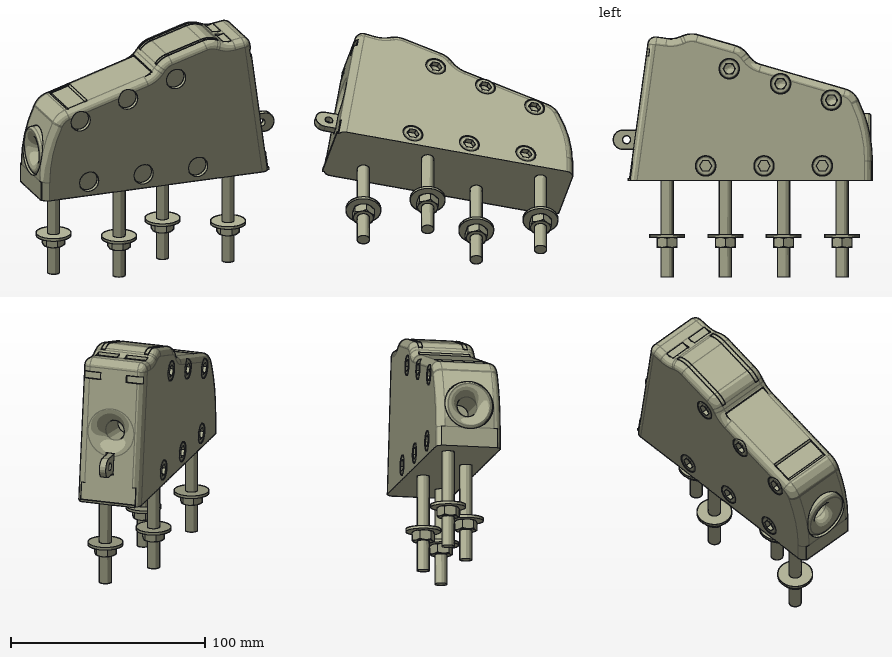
import cadquery as cq
import math

HOUSING_WIDTH = 34.0
EDGE_RADIUS = 4.0
HALF_WIDTH = HOUSING_WIDTH / 2

BASE_LENGTH = 125.4

NOSE_CORNER = (0.0, 26.5, 72.2)
FRONT_CORNER = (9.4, 46.0, 10.4)
STEP_FOOT = (61.0, 61.0, 11.5)
STEP_TOP = (67.0, 68.7, 11.8)
HUMP_TOP = (93.8, 76.5, 11.8)
VALLEY = (102.4, 72.8, 13.0)
REAR_CORNER = (115.2, 74.7, 4.1)


def slope_angle(low, high):
    return math.atan2(high[1] - low[1], high[0] - low[0])


FRONT_DECK_ANGLE = slope_angle(FRONT_CORNER, STEP_FOOT)
REAR_DECK_ANGLE = slope_angle(VALLEY, REAR_CORNER)
BACK_LEAN = math.atan2(BASE_LENGTH - REAR_CORNER[0], REAR_CORNER[1])

BASE_WIDTH = 29.7
BASE_HEIGHT = 10.0
REAR_LIP_END = 125.9
REAR_LIP_HEIGHT = 1.2

POCKET_WIDTH = 26.9
POCKET_CLEARANCE = 8.0
FRONT_POCKET_START = 56.1
FRONT_POCKET_WALL = 62.0
REAR_POCKET_START = 105.6
REAR_POCKET_WALL = 101.3
REAR_RIB_WIDTH = 4.1

STRIP_INSIDE = 10.7
STRIP_WIDTH = 2.1
STRIP_DEPTH = 0.3
STRIP_FRONT = 64.5
STRIP_REAR = 98.5

PLATE_WIDTH = 25.4
PLATE_REAR = 26.3
PLATE_FRONT = 15.0
PLATE_DEPTH = 0.7
PLATE_END_RUN = 1.1

CABLE_DIAMETER = 10.5
CABLE_HOLE_DEPTH = 26.7
BUSHING_HOLE = 25.5
BUSHING_HOLE_DEPTH = 6.7
BUSHING_DIAMETER = 25.0
BUSHING_MOUTH = 22.2
BUSHING_FACE = 0.8
BUSHING_HEIGHT = 22.2
BUSHING_EDGE = 1.2
BUSHING_BACK = 13.4
REAR_MOUTH = 25.0
REAR_MOUTH_HEIGHT = 37.4

TAB_THICKNESS = 3.5
TAB_HEIGHT = 10.0
TAB_CENTER_HEIGHT = 21.1
TAB_END = 133.6
TAB_ROOT = 113.6
TAB_HOLE = 4.0
TAB_HOLE_Y = 126.7
TAB_SLOT_WIDTH = 4.4
TAB_SLOT_HEIGHT = 11.4
TAB_SLOT_DEPTH = 2.7

NOTCH_INSIDE = 7.0
NOTCH_OUTSIDE = 15.9
NOTCH_BOTTOM = 64.4
NOTCH_TOP = 68.0
NOTCH_DEPTH = 1.3

UPPER_SCREWS = [(73.8, 57.7), (47.3, 50.0), (21.1, 41.5)]
LOWER_SCREWS = [(86.0, 7.6), (55.9, 7.6), (25.8, 7.6)]
SCREW_RECESS = 10.5
SCREW_RECESS_DEPTH = 4.0
FAR_RECESS_DEPTH = 2.7
SCREW_HEAD = 10.0
SCREW_HEAD_EDGE = 0.5
SOCKET_FLATS = 5.5
SOCKET_DEPTH = 2.7
SOCKET_CONE_DEPTH = 1.3

STUD_DIAMETER = 6.4
STUD_TIP = -49.7
STUD_ROOT = 6.7
STUD_OFFSET = 7.95
FIRST_STUD = 15.6
STUD_PITCH = 30.1
STUD_COUNT = 4
WASHER_DIAMETER = 18.0
WASHER_TOP = -27.8
WASHER_THICKNESS = 1.5
NUT_FLATS = 10.3
NUT_HEIGHT = 5.1
NUT_CHAMFER = 0.5


def toward(start, end, distance):
    """Point at a distance from start on the way to end."""
    length = math.dist(start, end)
    return tuple(s + (e - s) * distance / length for s, e in zip(start, end))


def rounded_outline(corners):
    """Closed YZ outline through (y, z, radius) corners, each rounded by an arc."""
    outline = cq.Workplane("YZ")
    for index, (y, z, radius) in enumerate(corners):
        corner = (y, z)
        before = corners[index - 1][:2]
        after = corners[(index + 1) % len(corners)][:2]
        heading_in = math.atan2(z - before[1], y - before[0])
        heading_out = math.atan2(after[1] - z, after[0] - y)
        half_turn = abs(math.remainder(heading_out - heading_in, 2 * math.pi)) / 2
        setback = radius * math.tan(half_turn)
        start = toward(corner, before, setback)
        end = toward(corner, after, setback)
        outline = outline.lineTo(*start) if index else outline.moveTo(*start)
        if radius > 0:
            chord_middle = ((start[0] + end[0]) / 2, (start[1] + end[1]) / 2)
            gap = radius * (1 / math.cos(half_turn) - 1)
            outline = outline.threePointArc(toward(corner, chord_middle, gap), end)
    return outline.close()


def prism(points, x_start, x_end):
    """YZ polygon extruded between two X positions."""
    return cq.Workplane("YZ", origin=(x_start, 0, 0)).polyline(points).close().extrude(x_end - x_start)


def back_wall_y(z):
    return BASE_LENGTH - z * math.tan(BACK_LEAN)


def front_deck_z(y):
    return STEP_FOOT[1] + (y - STEP_FOOT[0]) * math.tan(FRONT_DECK_ANGLE)


def rear_deck_z(y):
    return VALLEY[1] + (y - VALLEY[0]) * math.tan(REAR_DECK_ANGLE)


def back_wall_plane(z):
    """Plane on the back wall at height z, facing outward with its x along +X."""
    normal = (0, math.cos(BACK_LEAN), math.sin(BACK_LEAN))
    return cq.Plane(origin=(0, back_wall_y(z), z), xDir=(1, 0, 0), normal=normal)


def square_edged_housing():
    corners = [
        (0.0, 0.0, 0.0),
        NOSE_CORNER,
        FRONT_CORNER,
        STEP_FOOT,
        STEP_TOP,
        HUMP_TOP,
        VALLEY,
        REAR_CORNER,
        (BASE_LENGTH, 0.0, 0.0),
    ]
    return rounded_outline(corners).extrude(HALF_WIDTH, both=True)


def housing():
    return square_edged_housing().faces("<X or >X").edges("not <Z").fillet(EDGE_RADIUS)


def base_block():
    """Block flush with both ends of the housing, with a low lip standing out at the back."""
    points = [
        (0, 0),
        (0, BASE_HEIGHT),
        (back_wall_y(BASE_HEIGHT), BASE_HEIGHT),
        (back_wall_y(REAR_LIP_HEIGHT), REAR_LIP_HEIGHT),
        (REAR_LIP_END, REAR_LIP_HEIGHT),
        (REAR_LIP_END, 0),
    ]
    return prism(points, -BASE_WIDTH / 2, BASE_WIDTH / 2)


def valley_pocket(start, start_z, wall):
    """Space above a sloping floor, ended by a wall square to that floor."""
    lean = POCKET_CLEARANCE * math.tan(FRONT_DECK_ANGLE)
    wall_z = start_z + (wall - start) * math.tan(FRONT_DECK_ANGLE)
    points = [
        (start, start_z),
        (wall, wall_z),
        (wall - lean, wall_z + POCKET_CLEARANCE),
        (start - lean, start_z + POCKET_CLEARANCE),
    ]
    return prism(points, -POCKET_WIDTH / 2, POCKET_WIDTH / 2)


def front_pocket():
    return valley_pocket(FRONT_POCKET_START, front_deck_z(FRONT_POCKET_START), FRONT_POCKET_WALL)


def rear_pocket():
    pocket = valley_pocket(REAR_POCKET_START, rear_deck_z(REAR_POCKET_START), REAR_POCKET_WALL)
    rib = cq.Workplane("XY", origin=(0, VALLEY[0], VALLEY[1]))
    return pocket.cut(rib.box(REAR_RIB_WIDTH, HOUSING_WIDTH, HOUSING_WIDTH))


def hump_strips():
    """Thin layers just under the hump surface along its two sides."""
    body = square_edged_housing()
    layer = body.cut(body.translate((0, 0, -STRIP_DEPTH)))
    middle = STRIP_INSIDE + STRIP_WIDTH / 2
    span = (
        cq.Workplane("XY", origin=(0, (STRIP_FRONT + STRIP_REAR) / 2, BASE_HEIGHT))
        .pushPoints([(-middle, 0), (middle, 0)])
        .rect(STRIP_WIDTH, STRIP_REAR - STRIP_FRONT)
        .extrude(HUMP_TOP[1])
    )
    return layer.intersect(span)


def plate_recess():
    def deck_point(y, depth):
        inward_y = depth * math.sin(FRONT_DECK_ANGLE)
        inward_z = depth * math.cos(FRONT_DECK_ANGLE)
        return (y + inward_y, front_deck_z(y) - inward_z)

    points = [
        deck_point(PLATE_FRONT, 0),
        deck_point(PLATE_FRONT + PLATE_END_RUN, PLATE_DEPTH),
        deck_point(PLATE_REAR - PLATE_END_RUN, PLATE_DEPTH),
        deck_point(PLATE_REAR, 0),
        deck_point(PLATE_REAR, -PLATE_DEPTH),
        deck_point(PLATE_FRONT, -PLATE_DEPTH),
    ]
    return prism(points, -PLATE_WIDTH / 2, PLATE_WIDTH / 2)


def back_notches():
    slant = (NOTCH_TOP - NOTCH_BOTTOM) / math.cos(BACK_LEAN)
    middle = (NOTCH_INSIDE + NOTCH_OUTSIDE) / 2
    return (
        cq.Workplane(back_wall_plane((NOTCH_TOP + NOTCH_BOTTOM) / 2))
        .pushPoints([(-middle, 0), (middle, 0)])
        .rect(NOTCH_OUTSIDE - NOTCH_INSIDE, slant)
        .extrude(-NOTCH_DEPTH)
    )


def bell_mouth(plane, mouth_diameter):
    """Flared opening that narrows inward along a quarter circle to the cable hole."""
    mouth = mouth_diameter / 2
    throat = CABLE_DIAMETER / 2
    flare = mouth - throat
    bend = flare * math.sin(math.pi / 4)
    return (
        cq.Workplane(plane)
        .moveTo(0, 0)
        .lineTo(mouth, 0)
        .threePointArc((mouth - bend, bend - flare), (throat, -flare))
        .lineTo(throat, -CABLE_HOLE_DEPTH)
        .lineTo(0, -CABLE_HOLE_DEPTH)
        .close()
        .revolve(360, (0, 0, 0), (0, 1, 0))
    )


def front_mouth():
    plane = cq.Plane(origin=(0, BUSHING_FACE, BUSHING_HEIGHT), xDir=(-1, 0, 0), normal=(0, 0, 1))
    return bell_mouth(plane, BUSHING_MOUTH)


def rear_mouth():
    wall = back_wall_plane(REAR_MOUTH_HEIGHT)
    plane = cq.Plane(origin=wall.origin, xDir=wall.xDir, normal=wall.xDir.cross(wall.zDir))
    return bell_mouth(plane, REAR_MOUTH)


def bushing_hole():
    circle = cq.Workplane("XZ", origin=(0, 0, BUSHING_HEIGHT)).circle(BUSHING_HOLE / 2)
    return circle.extrude(-BUSHING_HOLE_DEPTH)


def front_bushing():
    return (
        cq.Workplane("XZ", origin=(0, BUSHING_FACE, BUSHING_HEIGHT))
        .circle(BUSHING_DIAMETER / 2)
        .extrude(-BUSHING_BACK)
        .faces("<Y")
        .edges()
        .fillet(BUSHING_EDGE)
    )


def tab():
    radius = TAB_HEIGHT / 2
    length = TAB_END - radius - TAB_ROOT
    bar = (
        cq.Workplane("YZ", origin=(0, TAB_ROOT, TAB_CENTER_HEIGHT))
        .moveTo(0, -radius)
        .lineTo(length, -radius)
        .threePointArc((length + radius, 0), (length, radius))
        .lineTo(0, radius)
        .close()
        .extrude(TAB_THICKNESS / 2, both=True)
    )
    hole = cq.Workplane("YZ", origin=(0, TAB_HOLE_Y, TAB_CENTER_HEIGHT)).circle(TAB_HOLE / 2)
    return bar.cut(hole.extrude(TAB_THICKNESS, both=True))


def tab_slot():
    plane = back_wall_plane(TAB_CENTER_HEIGHT)
    return cq.Workplane(plane).rect(TAB_SLOT_WIDTH, TAB_SLOT_HEIGHT).extrude(-TAB_SLOT_DEPTH)


def screw_recess(y, z):
    near = cq.Workplane("YZ", origin=(-HALF_WIDTH, y, z)).circle(SCREW_RECESS / 2)
    far = cq.Workplane("YZ", origin=(HALF_WIDTH, y, z)).circle(SCREW_RECESS / 2)
    return near.extrude(SCREW_RECESS_DEPTH).union(far.extrude(-FAR_RECESS_DEPTH))


def screw_head(y, z, conical_socket):
    """Head flush with the -X side; its socket floor is flat or a drilled cone."""
    side = cq.Workplane("YZ", origin=(-HALF_WIDTH, y, z))
    head = side.circle(SCREW_HEAD / 2).extrude(SCREW_RECESS_DEPTH)
    head = head.faces("<X").edges().fillet(SCREW_HEAD_EDGE)
    hexagon = side.transformed(rotate=(0, 0, 90)).polygon(6, SOCKET_FLATS, circumscribed=True)
    head = head.cut(hexagon.extrude(SOCKET_DEPTH))
    if conical_socket:
        floor = cq.Vector(SOCKET_DEPTH - HALF_WIDTH, y, z)
        cone = cq.Solid.makeCone(SOCKET_FLATS / 2, 0, SOCKET_CONE_DEPTH, floor, cq.Vector(1, 0, 0))
        head = head.cut(cq.Workplane(cone))
    return head


def nut():
    """Hexagonal nut with its corners along X, turned down at both ends."""
    corner = NUT_FLATS / 2 / math.cos(math.pi / 6)
    blank = cq.Workplane("XY").polygon(6, 2 * corner).extrude(-NUT_HEIGHT)
    turned = cq.Workplane("XY").circle(corner).extrude(-NUT_HEIGHT)
    return blank.intersect(turned.edges().chamfer(NUT_CHAMFER, corner - NUT_FLATS / 2))


def stud(x, y):
    rod = cq.Workplane("XY", origin=(0, 0, STUD_TIP)).circle(STUD_DIAMETER / 2)
    rod = rod.extrude(STUD_ROOT - STUD_TIP)
    washer = cq.Workplane("XY", origin=(0, 0, WASHER_TOP)).circle(WASHER_DIAMETER / 2)
    washer = washer.extrude(-WASHER_THICKNESS)
    fastener = rod.union(washer).union(nut().translate((0, 0, WASHER_TOP - WASHER_THICKNESS)))
    return fastener.translate((x, y, 0))


result = housing().union(base_block())
result = result.cut(front_pocket())
result = result.cut(rear_pocket())
result = result.cut(hump_strips())
result = result.cut(plate_recess())
result = result.cut(back_notches())

result = result.cut(bushing_hole())
result = result.union(front_bushing())
result = result.cut(front_mouth())
result = result.cut(rear_mouth())
result = result.cut(tab_slot())
result = result.union(tab())

for screws, conical_socket in ((UPPER_SCREWS, True), (LOWER_SCREWS, False)):
    for screw_y, screw_z in screws:
        result = result.cut(screw_recess(screw_y, screw_z))
        result = result.union(screw_head(screw_y, screw_z, conical_socket))

for index in range(STUD_COUNT):
    stud_side = -STUD_OFFSET if index % 2 == 0 else STUD_OFFSET
    result = result.union(stud(stud_side, FIRST_STUD + index * STUD_PITCH))